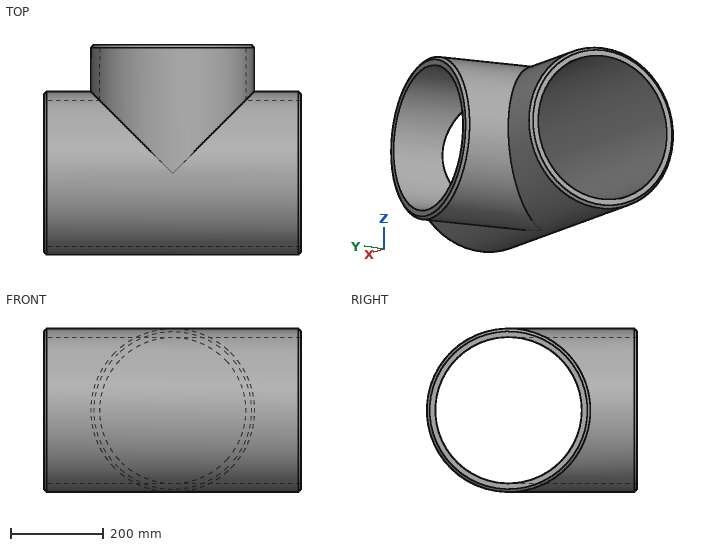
import cadquery as cq

outer_diameter = 355.6
wall_thickness = 19.05
run_length = 558.8
branch_length = 279.4
bevel_size = 6.5

outer_radius = outer_diameter / 2
bore_radius = outer_radius - wall_thickness
end_radius = outer_radius - bevel_size
half_run = run_length / 2


def run_body():
    """Solid run with a weld bevel at both ends, revolved about X."""
    profile = [
        (-half_run, 0),
        (-half_run, end_radius),
        (-half_run + bevel_size, outer_radius),
        (half_run - bevel_size, outer_radius),
        (half_run, end_radius),
        (half_run, 0),
    ]
    return cq.Workplane("XY").polyline(profile).close().revolve(360, (0, 0, 0), (1, 0, 0))


def branch_body():
    """Solid branch with a weld bevel at its open end, revolved about Y."""
    profile = [
        (0, 0),
        (outer_radius, 0),
        (outer_radius, branch_length - bevel_size),
        (end_radius, branch_length),
        (0, branch_length),
    ]
    return cq.Workplane("XY").polyline(profile).close().revolve(360, (0, 0, 0), (0, 1, 0))


def run_bore():
    """Bore through the full length of the run."""
    return cq.Workplane("YZ").circle(bore_radius).extrude(half_run, both=True)


def branch_bore():
    """Bore from the run axis out through the branch end."""
    return cq.Workplane("XZ").circle(bore_radius).extrude(-branch_length)


result = run_body().union(branch_body()).cut(run_bore()).cut(branch_bore())